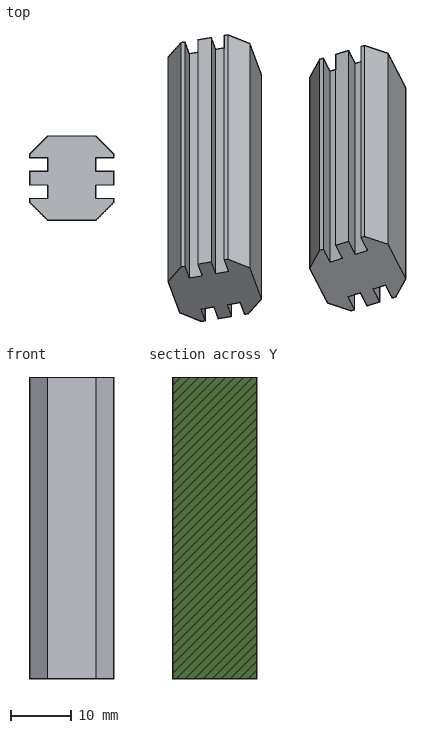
import cadquery as cq

width = 14.0
length = 50.0
corner_chamfer = 3.0
slot_depth = 3.0
slot_width = 2.2
rib_width = 2.3

slot_offset = (rib_width + slot_width) / 2
slot_center_x = (width - slot_depth) / 2


def make_bar():
    """Square bar standing on Z = 0 with its four long edges chamfered."""
    return (
        cq.Workplane("XY")
        .box(width, width, length, centered=(True, True, False))
        .edges("|Z")
        .chamfer(corner_chamfer)
    )


def make_slots():
    """Two full-length slots in each X side, leaving a rib between them."""
    centers = [
        (side * slot_center_x, row * slot_offset)
        for side in (-1, 1)
        for row in (-1, 1)
    ]
    return (
        cq.Workplane("XY")
        .pushPoints(centers)
        .rect(slot_depth, slot_width)
        .extrude(length)
    )


result = make_bar().cut(make_slots())